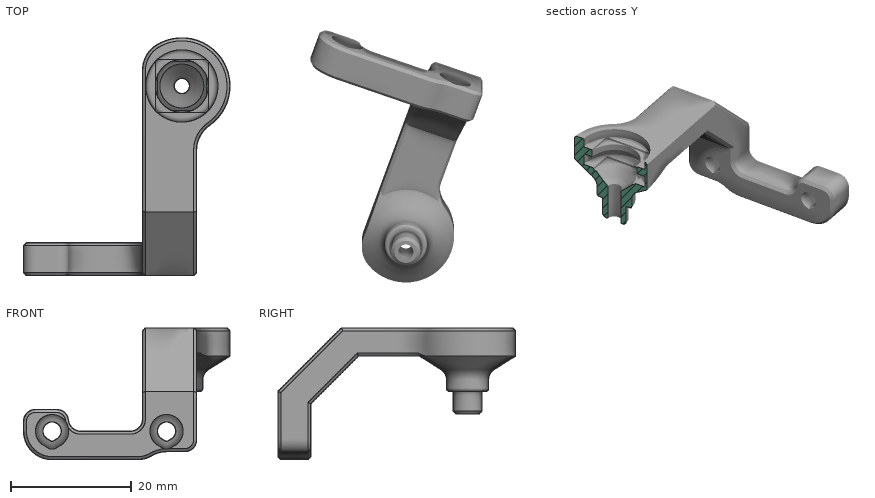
import cadquery as cq
import math

HEIGHT = 21.89
EDGE_CHAMFER = 0.5

BAR_DEPTH = 5.5
BAR_HEIGHT = 4.75
LUG_HEIGHT = 8.35
LUG_END_RADIUS = 4.75
CORNER_RADIUS = 2.0
LUG_TOP_END = 5.5
HOLE_SPACING = 19.0
STEP_RISE = 1.33
STEP_RADIUS = 4.75

SCREW_RADIUS = 1.5
SCREW_HEAD_RADIUS = 2.75
SCREW_HEAD_DEPTH = 2.5
TEARDROP_DROP = 0.22
TEARDROP_SLOPE = math.radians(30)

ARM_LEFT = 19.75
ARM_WIDTH = 9.0
ARM_THICKNESS = 4.7
BEND_RUN = 10.55
INNER_BEND_Y = 13.4

HEAD_RADIUS = 8.0
HEAD_X = 26.29
HEAD_Y = 31.5
NECK_RADIUS = 5.0

CONE_ANGLE = math.radians(32)
COLLAR_RADIUS = 3.5
COLLAR_BLEND = 1.9
COLLAR_BOTTOM = 11.33
COLLAR_ROUND = 0.5
PIN_RADIUS = 2.4
PIN_BOTTOM = 7.56

CAVITY_RADIUS = 6.0
TOP_RECESS_DEPTH = 1.6
LIP_RADIUS = 4.4
LIP_DEPTH = 3.1
CHAMBER_DEPTH = 5.14
STEP_LAYER = 0.38
CHAMBER_SQUARE = 8.12
FUNNEL_RADIUS = 3.65
FUNNEL_ANGLE = math.radians(45)
THROAT_RADIUS = 2.05
THROAT_ANGLE = math.radians(40)
BORE_RADIUS = 1.25

ARM_RIGHT = ARM_LEFT + ARM_WIDTH
UNDERSIDE = HEIGHT - ARM_THICKNESS
OUTER_KNEE = HEIGHT - BEND_RUN
INNER_KNEE = UNDERSIDE - (INNER_BEND_Y - BAR_DEPTH)
LUG_HOLE_X = LUG_END_RADIUS
ARM_HOLE_X = LUG_HOLE_X + HOLE_SPACING
HOLE_Z = LUG_END_RADIUS
HEAD_END = HEAD_Y + HEAD_RADIUS
CONE_TOP = UNDERSIDE + 2 * EDGE_CHAMFER


def polar(center, radius, angle):
    return (center[0] + radius * math.cos(angle), center[1] + radius * math.sin(angle))


def s_curve_run(rise, radius):
    """Horizontal run of two equal tangent arcs that together climb by rise."""
    return math.sqrt((2 * radius) ** 2 - (2 * radius - rise) ** 2)


def bar_outline():
    """Front outline of the base bar with lug and arm foot, as a sketch in the XZ plane."""
    r = CORNER_RADIUS
    diagonal = math.sqrt(0.5)
    drop = LUG_HEIGHT - BAR_HEIGHT
    groove_start = LUG_TOP_END + s_curve_run(drop, r)
    s_middle = ((LUG_TOP_END + groove_start) / 2, BAR_HEIGHT + drop / 2)
    step_start = ARM_HOLE_X - s_curve_run(STEP_RISE, STEP_RADIUS)
    step_middle = ((step_start + ARM_HOLE_X) / 2, STEP_RISE / 2)
    lug_center = (LUG_END_RADIUS, LUG_END_RADIUS)
    return (
        cq.Workplane("XZ")
        .moveTo(0, LUG_END_RADIUS)
        .lineTo(0, LUG_HEIGHT - r)
        .threePointArc((r - r * diagonal, LUG_HEIGHT - r + r * diagonal), (r, LUG_HEIGHT))
        .lineTo(LUG_TOP_END, LUG_HEIGHT)
        .tangentArcPoint(s_middle, relative=False)
        .tangentArcPoint((groove_start, BAR_HEIGHT), relative=False)
        .lineTo(ARM_LEFT - r, BAR_HEIGHT)
        .tangentArcPoint((ARM_LEFT, BAR_HEIGHT + r), relative=False)
        .lineTo(ARM_LEFT, INNER_KNEE)
        .lineTo(ARM_RIGHT, INNER_KNEE)
        .lineTo(ARM_RIGHT, STEP_RISE + r)
        .tangentArcPoint((ARM_RIGHT - r, STEP_RISE), relative=False)
        .lineTo(ARM_HOLE_X, STEP_RISE)
        .tangentArcPoint(step_middle, relative=False)
        .tangentArcPoint((step_start, 0), relative=False)
        .lineTo(LUG_END_RADIUS, 0)
        .threePointArc(polar(lug_center, LUG_END_RADIUS, math.radians(225)), (0, LUG_END_RADIUS))
        .close()
    )


def arm_plan():
    """Plan of the arm and its round head, as a solid over the full height."""
    head = (HEAD_X, HEAD_Y)
    neck_x = ARM_RIGHT + NECK_RADIUS
    neck_y = HEAD_Y - math.sqrt((HEAD_RADIUS + NECK_RADIUS) ** 2 - (neck_x - HEAD_X) ** 2)
    neck_angle = math.atan2(neck_y - HEAD_Y, neck_x - HEAD_X)
    side_x = ARM_LEFT + NECK_RADIUS
    side_y = HEAD_Y + math.sqrt((HEAD_RADIUS - NECK_RADIUS) ** 2 - (HEAD_X - side_x) ** 2)
    side_angle = math.atan2(side_y - HEAD_Y, side_x - HEAD_X)
    return (
        cq.Workplane("XY")
        .moveTo(ARM_LEFT, 0)
        .lineTo(ARM_RIGHT, 0)
        .lineTo(ARM_RIGHT, neck_y)
        .tangentArcPoint(polar(head, HEAD_RADIUS, neck_angle), relative=False)
        .threePointArc(
            polar(head, HEAD_RADIUS, (neck_angle + side_angle) / 2),
            polar(head, HEAD_RADIUS, side_angle),
        )
        .tangentArcPoint((ARM_LEFT, side_y), relative=False)
        .close()
        .extrude(HEIGHT)
    )


def arm():
    """Cranked side profile, trimmed to the plan."""
    profile = [
        (0, INNER_KNEE),
        (0, OUTER_KNEE),
        (BEND_RUN, HEIGHT),
        (HEAD_END, HEIGHT),
        (HEAD_END, UNDERSIDE),
        (INNER_BEND_Y, UNDERSIDE),
        (BAR_DEPTH, INNER_KNEE),
    ]
    reach = HEAD_X + HEAD_RADIUS
    return cq.Workplane("YZ").polyline(profile).close().extrude(reach).intersect(arm_plan())


def is_broad(face):
    """True for the broad faces along the crank, false for the level faces of bar, lug and foot."""
    normal = face.normalAt()
    height = face.Center().z
    level = abs(normal.z) > 0.999
    return not level or height > INNER_KNEE


def chamfer_long_edges(body):
    """Chamfer the rims of all broad faces, leaving the bends between those faces sharp."""
    broad_faces = [f for f in body.faces("#X").vals() if f.geomType() == "PLANE" and is_broad(f)]
    rim_edges = [edge for face in broad_faces for edge in face.Edges()]
    edges = []
    for edge in rim_edges:
        uses = sum(edge.isSame(other) for other in rim_edges)
        if uses == 1:
            edges.append(edge)
    return body.newObject(edges).chamfer(EDGE_CHAMFER)


def revolve_at_head(profile):
    """Revolve a closed (r, z) sketch about the vertical axis and move it to the head."""
    return profile.close().revolve(360, (0, 0, 0), (0, 1, 0)).translate((HEAD_X, HEAD_Y, 0))


def spigot():
    """Cone, collar and pin below the head, trimmed to the plan."""
    cone_start = (HEAD_RADIUS + (CONE_TOP - UNDERSIDE) / math.tan(CONE_ANGLE), CONE_TOP)
    flank_radius = COLLAR_RADIUS + COLLAR_BLEND * (1 - math.sin(CONE_ANGLE))
    flank_z = UNDERSIDE - (HEAD_RADIUS - flank_radius) * math.tan(CONE_ANGLE)
    blend_center = (COLLAR_RADIUS + COLLAR_BLEND, flank_z - COLLAR_BLEND * math.cos(CONE_ANGLE))
    blend_middle = polar(blend_center, COLLAR_BLEND, 3 * math.pi / 4 + CONE_ANGLE / 2)
    c = EDGE_CHAMFER
    round_center = (COLLAR_RADIUS - COLLAR_ROUND, COLLAR_BOTTOM + COLLAR_ROUND)
    round_middle = polar(round_center, COLLAR_ROUND, -math.pi / 4)
    profile = (
        cq.Workplane("XZ")
        .moveTo(0, CONE_TOP)
        .lineTo(*cone_start)
        .lineTo(flank_radius, flank_z)
        .threePointArc(blend_middle, (COLLAR_RADIUS, blend_center[1]))
        .lineTo(COLLAR_RADIUS, round_center[1])
        .threePointArc(round_middle, (round_center[0], COLLAR_BOTTOM))
        .lineTo(PIN_RADIUS, COLLAR_BOTTOM)
        .lineTo(PIN_RADIUS, PIN_BOTTOM + c)
        .lineTo(PIN_RADIUS - c, PIN_BOTTOM)
        .lineTo(0, PIN_BOTTOM)
    )
    return revolve_at_head(profile).intersect(arm_plan())


def cylinder(radius, top_depth, bottom_depth):
    """Vertical cylinder on the head axis between two depths below the top face."""
    base = cq.Workplane("XY", origin=(HEAD_X, HEAD_Y, HEIGHT - bottom_depth))
    return base.circle(radius).extrude(bottom_depth - top_depth)


def square_step(side, top_depth):
    """Shallow square recess, clipped by the round cavity above it."""
    bottom_depth = top_depth + STEP_LAYER
    base = cq.Workplane("XY", origin=(HEAD_X, HEAD_Y, HEIGHT - bottom_depth))
    block = base.rect(side, side).extrude(STEP_LAYER)
    return block.intersect(cylinder(CAVITY_RADIUS, top_depth, bottom_depth))


def funnel():
    """Two-stage funnel below the chamber, ending in the bore through the pin."""
    top = HEIGHT - CHAMBER_DEPTH - STEP_LAYER
    throat = top - (FUNNEL_RADIUS - THROAT_RADIUS) * math.tan(FUNNEL_ANGLE)
    bore_top = throat - (THROAT_RADIUS - BORE_RADIUS) * math.tan(THROAT_ANGLE)
    profile = (
        cq.Workplane("XZ")
        .moveTo(0, top)
        .lineTo(FUNNEL_RADIUS, top)
        .lineTo(THROAT_RADIUS, throat)
        .lineTo(BORE_RADIUS, bore_top)
        .lineTo(BORE_RADIUS, PIN_BOTTOM)
        .lineTo(0, PIN_BOTTOM)
    )
    return revolve_at_head(profile)


def head_cavity():
    """Recess, square step, lip opening, chamber, square step and funnel from top to bottom."""
    return (
        cylinder(CAVITY_RADIUS, 0, TOP_RECESS_DEPTH)
        .union(square_step(2 * LIP_RADIUS, TOP_RECESS_DEPTH))
        .union(cylinder(LIP_RADIUS, TOP_RECESS_DEPTH, LIP_DEPTH))
        .union(cylinder(CAVITY_RADIUS, LIP_DEPTH, CHAMBER_DEPTH))
        .union(square_step(CHAMBER_SQUARE, CHAMBER_DEPTH))
        .union(funnel())
    )


def teardrop(x, radius, depth):
    """Round hole in Y from the front face, with a cut-off shallow point at its lower end."""
    drop = radius + TEARDROP_DROP
    flat_half = (radius / math.cos(TEARDROP_SLOPE) - drop) / math.tan(TEARDROP_SLOPE)
    center = (x, HOLE_Z)
    right = polar(center, radius, TEARDROP_SLOPE - math.pi / 2)
    left = polar(center, radius, -TEARDROP_SLOPE - math.pi / 2)
    return (
        cq.Workplane("XZ")
        .moveTo(x + flat_half, HOLE_Z - drop)
        .lineTo(*right)
        .threePointArc((x, HOLE_Z + radius), left)
        .lineTo(x - flat_half, HOLE_Z - drop)
        .close()
        .extrude(-depth)
    )


bracket = chamfer_long_edges(bar_outline().extrude(-BAR_DEPTH).union(arm()))
result = bracket.union(spigot()).cut(head_cavity())
for hole_x in (LUG_HOLE_X, ARM_HOLE_X):
    result = result.cut(teardrop(hole_x, SCREW_RADIUS, BAR_DEPTH))
    result = result.cut(teardrop(hole_x, SCREW_HEAD_RADIUS, SCREW_HEAD_DEPTH))